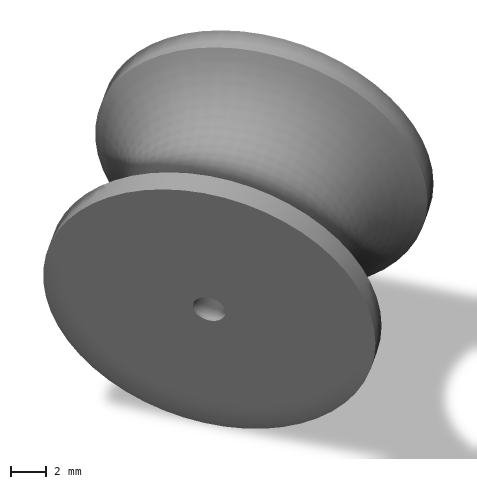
import cadquery as cq

outer_diameter = 19.3
roller_width = 12.4
rim_width = 1.33
throat_diameter = 13.45
bore_diameter = 1.9

outer_radius = outer_diameter / 2
throat_radius = throat_diameter / 2
bore_radius = bore_diameter / 2
half_width = roller_width / 2
groove_half_width = half_width - rim_width


def make_roller():
    """Revolve half of the cross-section, with its concave groove, about the Y axis."""
    profile = (
        cq.Workplane("XY")
        .moveTo(bore_radius, -half_width)
        .lineTo(outer_radius, -half_width)
        .lineTo(outer_radius, -groove_half_width)
        .threePointArc((throat_radius, 0), (outer_radius, groove_half_width))
        .lineTo(outer_radius, half_width)
        .lineTo(bore_radius, half_width)
        .close()
    )
    return profile.revolve(360, (0, 0, 0), (0, 1, 0))


result = make_roller()